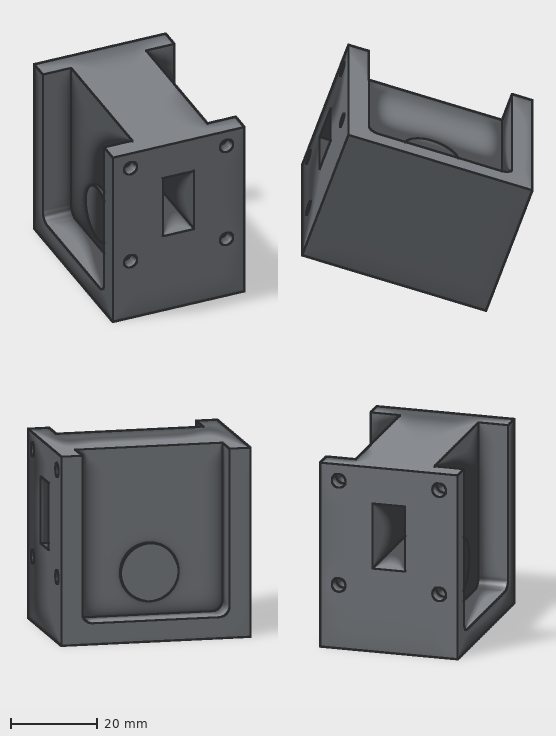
import cadquery as cq
import math

LENGTH = 45.0
DEPTH = 33.3
HEIGHT = 44.7

WALL = 5.0
CORE_THICKNESS = 19.0
RECESS_DEPTH = (DEPTH - CORE_THICKNESS) / 2
RECESS_CORNER_RADIUS = 2.5

PAD_DIAMETER = 13.7
PAD_HEIGHT = 1.0
PAD_CENTER_Z = 15.1

CHANNEL_WIDTH = 7.9
CHANNEL_HEIGHT = 15.8
CHANNEL_CENTER_Z = HEIGHT - DEPTH / 2

HOLE_DIAMETER = 3.3
HOLE_SPACING_Y = 24.3
HOLE_SPACING_Z = 25.3
HOLE_DEPTH = 3.5
DRILL_POINT_ANGLE = 118.0

FLOOR_Y = CORE_THICKNESS / 2


def make_body():
    return cq.Workplane("XY").box(LENGTH, DEPTH, HEIGHT, centered=(True, True, False))


def make_recess():
    """Pocket on the -Y side with rounded lower corners."""
    return (
        cq.Workplane("XY")
        .box(LENGTH - 2 * WALL, RECESS_DEPTH, HEIGHT - WALL, centered=(True, False, False))
        .edges("|Y and <Z")
        .fillet(RECESS_CORNER_RADIUS)
        .translate((0, -DEPTH / 2, WALL))
    )


def make_pad():
    """Round pad standing on the floor of the -Y recess."""
    return (
        cq.Workplane("XZ", origin=(0, -FLOOR_Y, PAD_CENTER_Z))
        .circle(PAD_DIAMETER / 2)
        .extrude(PAD_HEIGHT)
    )


def make_channel():
    channel = cq.Workplane("XY").box(LENGTH, CHANNEL_WIDTH, CHANNEL_HEIGHT)
    return channel.translate((0, 0, CHANNEL_CENTER_Z))


def make_drill():
    """Drilled hole with a conical bottom, entering along +X from the origin."""
    radius = HOLE_DIAMETER / 2
    point_length = radius / math.tan(math.radians(DRILL_POINT_ANGLE / 2))
    return (
        cq.Workplane("XY")
        .polyline([(0, 0), (0, radius), (HOLE_DEPTH, radius), (HOLE_DEPTH + point_length, 0)])
        .close()
        .revolve(360, (0, 0, 0), (1, 0, 0))
    )


def make_flange_holes():
    """Four holes in the -X flange."""
    drill = make_drill()
    holes = cq.Workplane("XY")
    for side_y in (-1, 1):
        for side_z in (-1, 1):
            y = side_y * HOLE_SPACING_Y / 2
            z = CHANNEL_CENTER_Z + side_z * HOLE_SPACING_Z / 2
            holes = holes.add(drill.translate((-LENGTH / 2, y, z)))
    return holes.combine()


recess = make_recess()
pad = make_pad()
flange_holes = make_flange_holes()

result = (
    make_body()
    .cut(recess)
    .cut(recess.mirror("XZ"))
    .union(pad)
    .union(pad.mirror("XZ"))
    .cut(make_channel())
    .cut(flange_holes)
    .cut(flange_holes.mirror("YZ"))
)